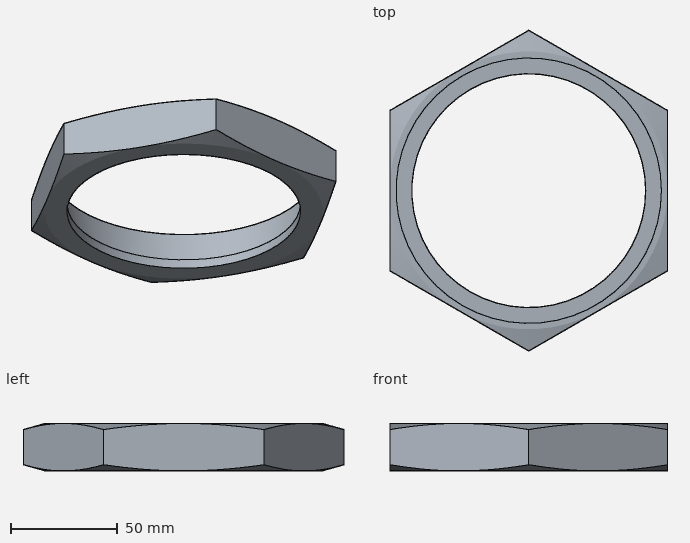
import cadquery as cq
import math

across_corners = 150.3
height = 22.3
bore_diameter = 109.5
counterbore_diameter = 124.3
floor_thickness = 4.5
chamfer_angle = 16.0

corner_radius = across_corners / 2
flat_radius = corner_radius * math.cos(math.radians(30))
corner_drop = (corner_radius - flat_radius) * math.tan(math.radians(chamfer_angle))


def hexagon_body():
    """Hexagonal prism with two corners on the Y axis."""
    return (
        cq.Workplane("XY")
        .transformed(rotate=(0, 0, 90))
        .polygon(6, across_corners)
        .extrude(height)
    )


def chamfer_envelope():
    """Turned blank whose conical ends bevel the hexagon corners."""
    profile = [
        (0, 0),
        (flat_radius, 0),
        (corner_radius, corner_drop),
        (corner_radius, height - corner_drop),
        (flat_radius, height),
        (0, height),
    ]
    return cq.Workplane("XZ").polyline(profile).close().revolve(360, (0, 0), (0, 1))


def stepped_bore():
    """Through bore with a wide counterbore open at the top."""
    bore = cq.Workplane("XY").circle(bore_diameter / 2).extrude(height)
    counterbore = (
        cq.Workplane("XY")
        .workplane(offset=floor_thickness)
        .circle(counterbore_diameter / 2)
        .extrude(height - floor_thickness)
    )
    return bore.union(counterbore)


result = hexagon_body().intersect(chamfer_envelope()).cut(stepped_bore())